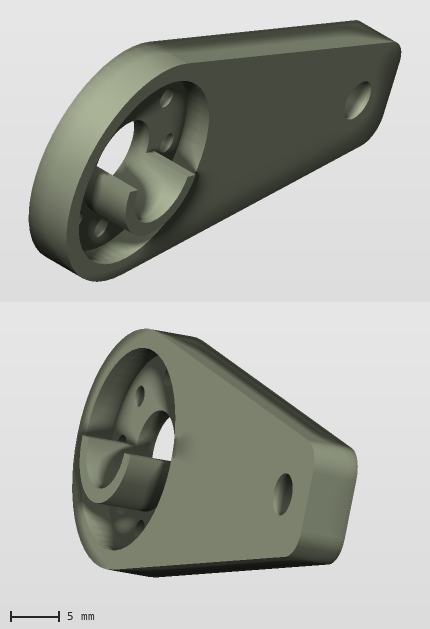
import cadquery as cq
import math

PLATE_THICKNESS = 5.0
HUB_RADIUS = 12.5
ARM_TILT = -25.0
PIVOT_DISTANCE = 38.0
TIP_MARGIN = 6.0
TIP_WIDTH = 11.35
TIP_FILLET = 3.0
TIP_DISTANCE = PIVOT_DISTANCE + TIP_MARGIN
PIVOT_HOLE_DIAMETER = 4.4

RIM_WIDTH = 2.0
RECESS_DIAMETER = 2 * (HUB_RADIUS - RIM_WIDTH)
FLOOR_THICKNESS = 2.0

BORE_DIAMETER = 9.0
RING_OUTER_DIAMETER = 12.0
RING_OVERHANG = 2.5
RING_TOP = PLATE_THICKNESS + RING_OVERHANG
RING_TILT = -28.0

SCREW_CIRCLE_RADIUS = 8.0
SCREW_OFFSET_ANGLE = 24.0
SCREW_HOLE_DIAMETER = 2.2
LOCATING_HOLE_DIAMETER = 2.0
LOCATING_HOLE = (3, 1)


def polar(radius, angle):
    """Point (y, z) at the given radius and angle in degrees."""
    turn = math.radians(angle)
    return (radius * math.cos(turn), radius * math.sin(turn))


def tilt(solid, angle):
    """Turn a solid about the hub axis."""
    return solid.rotate((0, 0, 0), (1, 0, 0), angle)


def cylinder(diameter, height, center=(0, 0)):
    """Cylinder along +X, starting at the outer plate face X = 0."""
    return cq.Workplane("YZ").center(*center).circle(diameter / 2).extrude(height)


def make_plate():
    """Round hub with straight sides tapering to a flat tip with rounded corners."""
    tip_half_width = TIP_WIDTH / 2
    corner_distance = math.hypot(TIP_DISTANCE, tip_half_width)
    corner_angle = math.atan2(tip_half_width, TIP_DISTANCE)
    tangent_angle = math.degrees(corner_angle + math.acos(HUB_RADIUS / corner_distance))
    tangent_y, tangent_z = polar(HUB_RADIUS, tangent_angle)
    plate = (
        cq.Workplane("YZ")
        .moveTo(tangent_y, tangent_z)
        .threePointArc((-HUB_RADIUS, 0), (tangent_y, -tangent_z))
        .lineTo(TIP_DISTANCE, -tip_half_width)
        .lineTo(TIP_DISTANCE, tip_half_width)
        .close()
        .extrude(PLATE_THICKNESS)
    )
    tip_corners = cq.selectors.BoxSelector(
        (0, TIP_DISTANCE - TIP_FILLET, -HUB_RADIUS),
        (PLATE_THICKNESS, TIP_DISTANCE + TIP_FILLET, HUB_RADIUS),
    )
    plate = plate.edges("|X").edges(tip_corners).fillet(TIP_FILLET)
    return tilt(plate, ARM_TILT)


def cut_recess(body):
    """Round recess about the hub axis, open on the inner plate face."""
    recess = cylinder(RECESS_DIAMETER, PLATE_THICKNESS - FLOOR_THICKNESS)
    return body.cut(recess.translate((FLOOR_THICKNESS, 0, 0)))


def make_half_ring():
    """Half disc rising from the recess floor; the bore later turns it into a half ring."""
    radius = RING_OUTER_DIAMETER / 2
    half_disc = (
        cq.Workplane("YZ")
        .workplane(offset=FLOOR_THICKNESS)
        .moveTo(radius, 0)
        .threePointArc((0, -radius), (-radius, 0))
        .close()
        .extrude(RING_TOP - FLOOR_THICKNESS)
    )
    return tilt(half_disc, RING_TILT)


def cut_screw_holes(body):
    """Eight holes around the bore, one of them the smaller locating hole."""
    for quarter in range(4):
        for side in (-1, 1):
            angle = quarter * 90.0 + side * SCREW_OFFSET_ANGLE
            is_locating = (quarter, side) == LOCATING_HOLE
            diameter = LOCATING_HOLE_DIAMETER if is_locating else SCREW_HOLE_DIAMETER
            center = polar(SCREW_CIRCLE_RADIUS, angle)
            body = body.cut(cylinder(diameter, FLOOR_THICKNESS, center))
    return body


body = cut_recess(make_plate()).union(make_half_ring())
body = body.cut(cylinder(BORE_DIAMETER, RING_TOP))
body = body.cut(cylinder(PIVOT_HOLE_DIAMETER, PLATE_THICKNESS, polar(PIVOT_DISTANCE, ARM_TILT)))
result = cut_screw_holes(body)